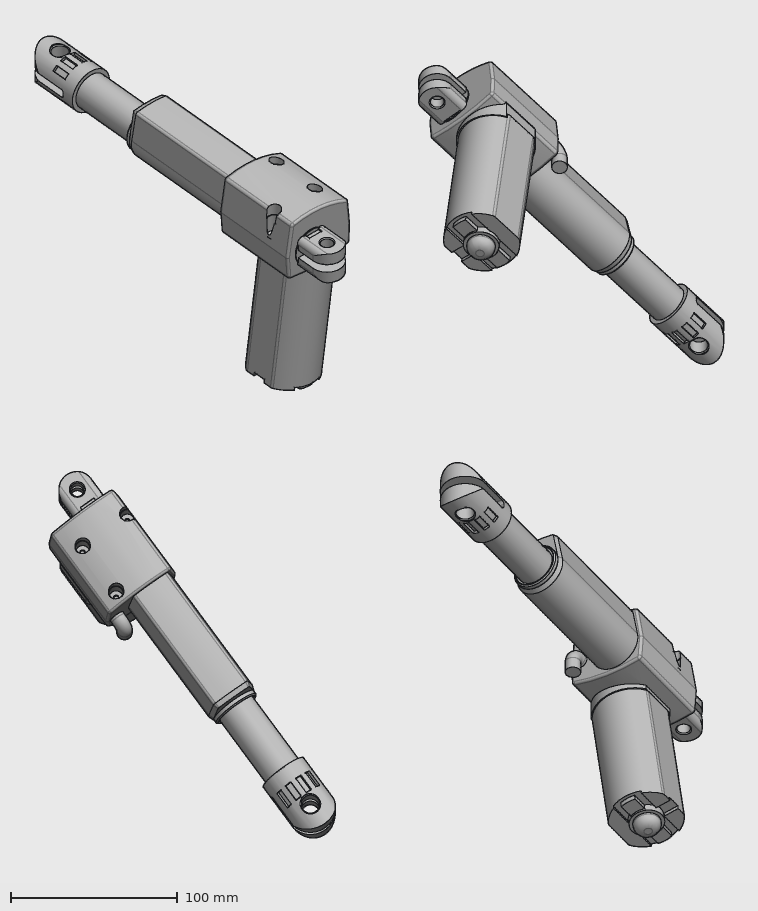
import cadquery as cq
import math


TOTAL_LENGTH = 265.0
ROD_EYE_END = 42.7
COLLAR_START = 90.4
TUBE_START = 93.6
BOX_START = 179.0
BOX_END = 239.7

ROD_EYE_RADIUS = 15.0
ROD_EYE_HOLE_DIA = 11.0
ROD_EYE_BEVEL_Z = 14.0
HOLE_CHAMFER = 0.7
ROD_RADIUS = 12.15
FORK_GAP = 5.8
ROD_EYE_SLOT_END = 34.5
SLOT_CORNER_RADIUS = 2.0
WINDOW_START = 22.0
WINDOW_LENGTH = 10.8
WINDOW_WIDTH = 4.0
WINDOW_DEPTH = 2.0
WINDOW_ANGLES = (15, 45, 135, 165, 195, 225, 315, 345)

COLLAR_RADIUS = 14.8
COLLAR_CHAMFER = 0.8
COLLAR_RECESS_RADIUS = 13.6
COLLAR_RECESS_DEPTH = 1.0
TUBE_RADIUS = 16.2
TUBE_SIDE_DRAFT = 10.0
TUBE_SHOULDER_Z = 22.6
TUBE_CROWN_Z = 23.7
TUBE_CORNER_RADIUS = 2.0
TUBE_BEVEL_LENGTH = 3.3
TUBE_BEVEL_DEPTH = 1.2

BOX_TOP_REAR = (30.2, 18.8)
BOX_TOP_CROWN = (1.6, 26.05)
BOX_TOP_FRONT = (-15.4, 24.0)
BOX_SEAM_FRONT = (-19.1, 0.0)
BOX_BOTTOM_FRONT = (-17.9, -16.6)
BOX_BOTTOM_CROWN = (3.0, -18.7)
BOX_BOTTOM_REAR = (31.4, -14.6)
BOX_SEAM_REAR = (31.9, 0.0)
BOX_CORNER_RADIUS = 2.4
BOX_EDGE_FILLET = 1.6

SCREW_PLACES = ((187.5, 19.2), (221.8, 19.2), (221.8, -13.8))
SCREW_MOUTH_RADIUS = 4.6
SCREW_STEP_Z = 17.0
SCREW_HOLE_RADIUS = 4.2
SCREW_HOLE_FLOOR_Z = 5.0
SCREW_SOCKET_RADIUS = 1.6
SCREW_SOCKET_DEPTH = 3.0

LUG_WIDTH = 22.2
LUG_CORNER_RADIUS = 4.0
LUG_HOLE_DIA = 8.2
LUG_FLANGE_RADIUS = 12.8
LUG_FLANGE_THICKNESS = 0.8
LUG_POCKET_LENGTH = 3.4
LUG_POCKET_WIDTH = 10.0
LUG_POCKET_DEPTH = 1.0

CABLE_RADIUS = 4.7
CABLE_Y = 25.0
CABLE_BEND_RADIUS = 6.5
CABLE_FRONT_X = 166.2
CABLE_END_Z = -14.2

MOTOR_X = 214.2
MOTOR_END_Y = 0.75
MOTOR_END_Z = -111.35
MOTOR_TILT = 7.5
MOTOR_RADIUS = 23.0
MOTOR_HALF_FLATS = 20.05
MOTOR_CORNER_RADIUS = 3.6
MOTOR_LENGTH = 88.5
SLEEVE_RADIUS = 23.7
SLEEVE_Y_MIN = -7.6
SLEEVE_Y_MAX = 31.8
SLEEVE_TOP_Z = -12.0
EAR_RADIUS = 20.8
EAR_WIDTH = 10.0
EAR_DROP = 1.5
SIDE_NOTCH_WIDTH = 20.0
SIDE_NOTCH_HEIGHT = 1.8
FLAT_NOTCH_WIDTH = 9.0
FLAT_NOTCH_HEIGHT = 2.4
BOSS_RADIUS = 10.8
BOSS_DROP = 2.8
DOME_RADIUS = 8.6
DOME_BOTTOM = 10.05
DOME_EDGE_RADIUS = 6.0
EMBED = 3.0


def x_cylinder(start, end, radius):
    return cq.Workplane("YZ", origin=(start, 0, 0)).circle(radius).extrude(end - start)


def z_cylinder(x, y, bottom, top, radius):
    return cq.Workplane("XY", origin=(x, y, bottom)).circle(radius).extrude(top - bottom)


def box_between(x_range, y_range, z_range):
    size = [b - a for a, b in (x_range, y_range, z_range)]
    corner = (x_range[0], y_range[0], z_range[0])
    return cq.Workplane("XY").box(*size, centered=False).translate(corner)


def pin_hole(x, bevel_z, reach, diameter):
    """Vertical pin hole tool, opening out to a chamfered mouth at z = +-bevel_z."""
    r = diameter / 2
    mouth = r + HOLE_CHAMFER
    throat_z = bevel_z - HOLE_CHAMFER
    return (
        cq.Workplane("XZ")
        .moveTo(0, -reach)
        .lineTo(mouth, -reach)
        .lineTo(mouth, -bevel_z)
        .lineTo(r, -throat_z)
        .lineTo(r, throat_z)
        .lineTo(mouth, bevel_z)
        .lineTo(mouth, reach)
        .lineTo(0, reach)
        .close()
        .revolve()
        .translate((x, 0, 0))
    )


def make_rod_eye():
    r = ROD_EYE_RADIUS
    outline = (
        cq.Workplane("XY", origin=(0, 0, -r))
        .moveTo(ROD_EYE_END, -r)
        .lineTo(r, -r)
        .threePointArc((0, 0), (r, r))
        .lineTo(ROD_EYE_END, r)
        .close()
        .extrude(2 * r)
    )
    eye = x_cylinder(0, ROD_EYE_END, r).intersect(outline)
    slot = box_between((-r, ROD_EYE_SLOT_END), (-r, r), (-FORK_GAP / 2, FORK_GAP / 2))
    slot = slot.edges("|Y and >X").fillet(SLOT_CORNER_RADIUS)
    eye = eye.cut(slot).cut(pin_hole(r, ROD_EYE_BEVEL_Z, r, ROD_EYE_HOLE_DIA))
    window = box_between(
        (WINDOW_START, WINDOW_START + WINDOW_LENGTH),
        (-WINDOW_WIDTH / 2, WINDOW_WIDTH / 2),
        (r - WINDOW_DEPTH, r + WINDOW_DEPTH),
    )
    for angle in WINDOW_ANGLES:
        eye = eye.cut(window.rotate((0, 0, 0), (1, 0, 0), angle))
    return eye


def make_rod_and_collar():
    collar = x_cylinder(COLLAR_START, TUBE_START + EMBED, COLLAR_RADIUS)
    collar = collar.faces("<X").edges().chamfer(COLLAR_CHAMFER)
    recess = x_cylinder(COLLAR_START, COLLAR_START + COLLAR_RECESS_DEPTH, COLLAR_RECESS_RADIUS)
    rod = x_cylinder(ROD_EYE_END - EMBED, TUBE_START + EMBED, ROD_RADIUS)
    return collar.cut(recess).union(rod)


def make_tube():
    draft = math.radians(TUBE_SIDE_DRAFT)
    tangent_y = TUBE_RADIUS * math.cos(draft)
    tangent_z = TUBE_RADIUS * math.sin(draft)
    shoulder_y = tangent_y - (TUBE_SHOULDER_Z - tangent_z) * math.tan(draft)
    bevel_end = TUBE_START + TUBE_BEVEL_LENGTH
    tube = (
        cq.Workplane("YZ", origin=(bevel_end, 0, 0))
        .moveTo(tangent_y, tangent_z)
        .lineTo(shoulder_y, TUBE_SHOULDER_Z)
        .threePointArc((0, TUBE_CROWN_Z), (-shoulder_y, TUBE_SHOULDER_Z))
        .lineTo(-tangent_y, tangent_z)
        .threePointArc((0, -TUBE_RADIUS), (tangent_y, tangent_z))
        .close()
        .extrude(BOX_START + EMBED - bevel_end)
    )
    above_shoulder = cq.selectors.BoxSelector(
        (TUBE_START, -TUBE_RADIUS, TUBE_RADIUS), (BOX_END, TUBE_RADIUS, BOX_TOP_CROWN[1])
    )
    tube = tube.edges("|X").edges(above_shoulder).fillet(TUBE_CORNER_RADIUS)
    bevel_angle = math.degrees(math.atan2(TUBE_BEVEL_DEPTH, TUBE_BEVEL_LENGTH))
    front = tube.faces("<X").workplane()
    front = front.add(tube.faces("<X").wires()).toPending()
    return front.extrude(TUBE_BEVEL_LENGTH, taper=bevel_angle)


def make_gearbox():
    box = (
        cq.Workplane("YZ", origin=(BOX_START, 0, 0))
        .moveTo(*BOX_TOP_REAR)
        .threePointArc(BOX_TOP_CROWN, BOX_TOP_FRONT)
        .lineTo(*BOX_SEAM_FRONT)
        .lineTo(*BOX_BOTTOM_FRONT)
        .threePointArc(BOX_BOTTOM_CROWN, BOX_BOTTOM_REAR)
        .lineTo(*BOX_SEAM_REAR)
        .close()
        .extrude(BOX_END - BOX_START)
    )
    corners = (BOX_TOP_REAR, BOX_TOP_FRONT, BOX_BOTTOM_FRONT, BOX_BOTTOM_REAR)
    mid_x = (BOX_START + BOX_END) / 2
    for y, z in corners:
        nearest = cq.selectors.NearestToPointSelector((mid_x, y, z))
        box = box.edges("|X").edges(nearest).fillet(BOX_CORNER_RADIUS)
    return box.faces("<X or >X").edges().fillet(BOX_EDGE_FILLET)


def cut_screw_holes(body):
    for x, y in SCREW_PLACES:
        mouth = z_cylinder(x, y, SCREW_STEP_Z, BOX_TOP_CROWN[1], SCREW_MOUTH_RADIUS)
        hole = z_cylinder(x, y, SCREW_HOLE_FLOOR_Z, SCREW_STEP_Z, SCREW_HOLE_RADIUS)
        socket_floor = SCREW_HOLE_FLOOR_Z - SCREW_SOCKET_DEPTH
        socket = z_cylinder(x, y, socket_floor, SCREW_HOLE_FLOOR_Z, SCREW_SOCKET_RADIUS)
        body = body.cut(mouth).cut(hole).cut(socket)
    return body


def make_rear_clevis():
    half = LUG_WIDTH / 2
    eye_x = TOTAL_LENGTH - half
    lug = box_between((BOX_END - EMBED, TOTAL_LENGTH), (-half, half), (-half, half))
    lug = lug.edges("|X").fillet(LUG_CORNER_RADIUS)
    outline = z_cylinder(eye_x, 0, -half, half, half).union(
        box_between((BOX_END - EMBED, eye_x), (-half, half), (-half, half))
    )
    lug = lug.intersect(outline)
    flange_end = BOX_END + LUG_FLANGE_THICKNESS
    gap = box_between((flange_end, TOTAL_LENGTH), (-half, half), (-FORK_GAP / 2, FORK_GAP / 2))
    pocket = box_between(
        (flange_end, flange_end + LUG_POCKET_LENGTH),
        (-LUG_POCKET_WIDTH / 2, LUG_POCKET_WIDTH / 2),
        (half - LUG_POCKET_DEPTH, half),
    )
    lug = lug.union(x_cylinder(BOX_END - EMBED, flange_end, LUG_FLANGE_RADIUS))
    return lug.cut(gap).cut(pocket).cut(pin_hole(eye_x, half, LUG_WIDTH, LUG_HOLE_DIA))


def make_cable_elbow():
    drop_x = CABLE_FRONT_X + CABLE_RADIUS
    bend_x = drop_x + CABLE_BEND_RADIUS
    reach = CABLE_BEND_RADIUS * math.sqrt(0.5)
    path = (
        cq.Workplane("XZ", origin=(0, CABLE_Y, 0))
        .moveTo(BOX_START + EMBED, 0)
        .lineTo(bend_x, 0)
        .threePointArc((bend_x - reach, reach - CABLE_BEND_RADIUS), (drop_x, -CABLE_BEND_RADIUS))
        .lineTo(drop_x, CABLE_END_Z)
    )
    start = cq.Workplane("YZ", origin=(BOX_START + EMBED, CABLE_Y, 0))
    return start.circle(CABLE_RADIUS).sweep(path)


def place_motor(shape):
    tilted = shape.rotate((0, 0, 0), (1, 0, 0), -MOTOR_TILT)
    return tilted.translate((MOTOR_X, MOTOR_END_Y, MOTOR_END_Z))


def make_motor():
    r = MOTOR_RADIUS
    flats = MOTOR_HALF_FLATS
    can = z_cylinder(0, 0, 0, MOTOR_LENGTH + EMBED, r)
    can = can.intersect(box_between((-r, r), (-flats, flats), (0, MOTOR_LENGTH + EMBED)))
    can = can.edges("|Z").fillet(MOTOR_CORNER_RADIUS)
    half_side = SIDE_NOTCH_WIDTH / 2
    can = can.cut(box_between((-r, r), (-half_side, half_side), (0, SIDE_NOTCH_HEIGHT)))
    half_notch = FLAT_NOTCH_WIDTH / 2
    can = can.cut(box_between((-half_notch, half_notch), (-flats, 0), (0, FLAT_NOTCH_HEIGHT)))

    ears = z_cylinder(0, 0, -EAR_DROP, EMBED, EAR_RADIUS)
    ears = ears.intersect(box_between((-r, r), (-EAR_WIDTH / 2, EAR_WIDTH / 2), (-EAR_DROP, EMBED)))
    boss = z_cylinder(0, 0, -BOSS_DROP, EMBED, BOSS_RADIUS)
    dome = z_cylinder(0, 0, -DOME_BOTTOM, 0, DOME_RADIUS).faces("<Z").edges().fillet(DOME_EDGE_RADIUS)
    return place_motor(can.union(ears).union(boss).union(dome))


def make_motor_sleeve():
    """Upright sleeve under the gearbox, ending square to the motor axis."""
    r = SLEEVE_RADIUS
    mid_y = (SLEEVE_Y_MIN + SLEEVE_Y_MAX) / 2
    sleeve = z_cylinder(MOTOR_X, mid_y, MOTOR_END_Z, SLEEVE_TOP_Z, r)
    x_range = (MOTOR_X - r, MOTOR_X + r)
    sleeve = sleeve.intersect(
        box_between(x_range, (SLEEVE_Y_MIN, SLEEVE_Y_MAX), (MOTOR_END_Z, SLEEVE_TOP_Z))
    )
    below_joint = box_between((-2 * r, 2 * r), (-2 * r, 2 * r), (-MOTOR_LENGTH, MOTOR_LENGTH))
    return sleeve.cut(place_motor(below_joint))


body = make_gearbox().union(make_tube()).union(make_motor_sleeve())
body = cut_screw_holes(body)
body = body.union(make_rod_and_collar()).union(make_rod_eye())
body = body.union(make_rear_clevis()).union(make_cable_elbow()).union(make_motor())
result = body